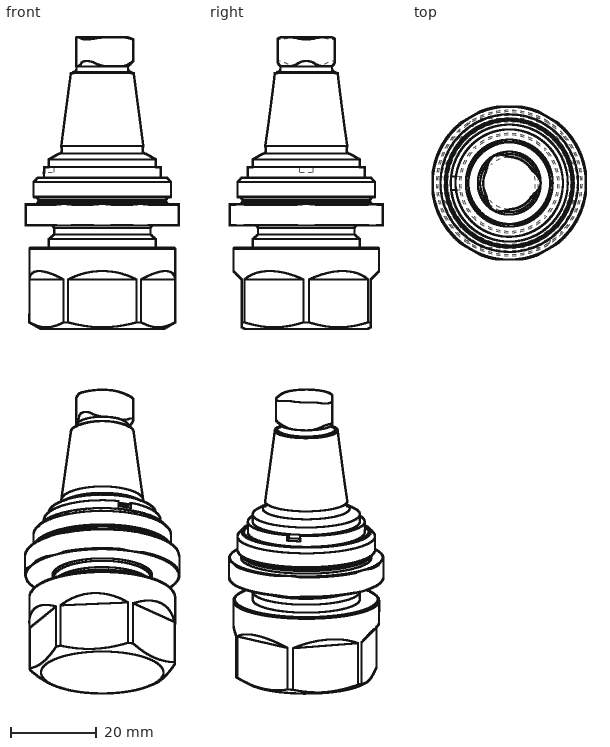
import cadquery as cq
import math

height = 68.0

nut_radius = 17.0
nut_top = 19.05
nut_top_chamfer = 0.35
hex_apothem = 15.0
hex_top = 11.55
nut_foot_radius = 14.3
nut_foot_angle = 30.0

collar_radius = 12.5
collar_top = 20.95
neck_radius = 11.255
neck_bottom = 22.0
neck_top = 23.6
neck_flare_radius = 11.6

flange_radius = 18.0
flange_apothem = 17.8
flange_bottom = 24.1
flange_top = 29.1
flange_chamfer = 0.2
flat_angles = (0, 60, 90, 120, 180, 240, 270, 300)

groove_edge_radius = 15.2
groove_radius = 14.9
groove_floor_bottom = 29.65
groove_floor_top = 30.1
groove_top = 30.6
ring_radius = 16.05
ring_bottom = 30.9
ring_shoulder = 34.2
ring_top = 35.3
ring_top_radius = 15.0
ring_recess_radius = 14.55
ring_recess_depth = 0.15

step_radius = 13.635
step_top = 37.75
shoulder_radius = 12.5
shoulder_top = 39.5
notch_width = 3.1
notch_floor = 36.45
notch_end_radius = 11.2

shoulder_cone_radius = 10.1
shoulder_cone_top = 40.9
relief_radius = 9.45
relief_bottom = 41.55
relief_top = 42.1
taper_bottom = 42.65
taper_bottom_radius = 9.6
taper_top = 59.65
taper_top_radius = 7.35

rim_radius = 6.765
rim_height = 0.3
head_neck_radius = 6.05
head_neck_bottom = 60.5
head_neck_top = 61.2
lobe_radius = 7.3
lobe_bottom = head_neck_top + lobe_radius - head_neck_radius
lobe_top = 67.45
head_top_radius = 5.7
head_crown_radius = 6.05
head_crown_drop = 0.1
head_base_radius = 6.085
nose_radius = 2.65
nose_distance = lobe_radius - nose_radius
lobe_count = 3
nose_edge_angle = 52.0
base_edge_angle = 37.0


def polar(radius, angle):
    a = math.radians(angle)
    return radius * math.cos(a), radius * math.sin(a)


def revolve(points):
    """Turn an (r, z) outline around the Z axis."""
    return cq.Workplane("XZ").polyline(points).close().revolve(360, (0, 0), (0, 1))


def make_nut():
    foot_rise = (nut_radius - nut_foot_radius) * math.tan(math.radians(nut_foot_angle))
    nut = revolve([
        (0, 0),
        (nut_foot_radius, 0),
        (nut_radius, foot_rise),
        (nut_radius, nut_top - nut_top_chamfer),
        (nut_radius - nut_top_chamfer, nut_top),
        (0, nut_top),
    ])
    reach = 2 * nut_radius
    runout = reach - hex_apothem
    flat_cutter = (
        cq.Workplane("XZ")
        .polyline([
            (hex_apothem, -0.7),
            (hex_apothem, hex_top),
            (reach, hex_top + runout),
            (reach, -0.7),
        ])
        .close()
        .extrude(nut_radius, both=True)
    )
    for i in range(6):
        nut = nut.cut(flat_cutter.rotate((0, 0, 0), (0, 0, 1), 30 + 60 * i))
    return nut


def make_flange():
    flange = (
        cq.Workplane("XY", origin=(0, 0, flange_bottom))
        .circle(flange_radius)
        .extrude(flange_top - flange_bottom)
        .faces("<Z or >Z")
        .chamfer(flange_chamfer)
    )
    flat_cutter = cq.Workplane("XY").box(
        flange_radius, flange_radius, height, centered=(False, True, False)
    ).translate((flange_apothem, 0, 0))
    for angle in flat_angles:
        flange = flange.cut(flat_cutter.rotate((0, 0, 0), (0, 0, 1), angle))
    return flange


def cove_middle(top, foot):
    """Middle of the arc that leaves top straight down and flares out to foot."""
    across = foot[0] - top[0]
    down = top[1] - foot[1]
    radius = (across**2 + down**2) / (2 * across)
    half_sweep = math.asin(down / radius) / 2
    return top[0] + radius * (1 - math.cos(half_sweep)), top[1] - radius * math.sin(half_sweep)


def make_body():
    """Turned length from the nut's top face up to the underside of the head."""
    lower_outline = [
        (0, nut_top),
        (collar_radius, nut_top),
        (collar_radius, collar_top),
        (neck_radius, neck_bottom),
        (neck_radius, neck_top),
        (neck_flare_radius, flange_bottom),
        (neck_flare_radius, flange_top),
        (groove_edge_radius, flange_top),
        (groove_radius, groove_floor_bottom),
        (groove_radius, groove_floor_top),
        (groove_edge_radius, groove_top),
        (ring_radius - ring_bottom + groove_top, groove_top),
        (ring_radius, ring_bottom),
        (ring_radius, ring_shoulder),
        (ring_top_radius, ring_top),
        (ring_recess_radius, ring_top),
        (ring_recess_radius, ring_top - ring_recess_depth),
        (step_radius, ring_top - ring_recess_depth),
        (step_radius, step_top),
        (shoulder_radius, step_top),
        (shoulder_radius, shoulder_top),
        (shoulder_cone_radius, shoulder_cone_top),
    ]
    upper_outline = [
        (relief_radius, relief_top),
        (taper_bottom_radius, taper_bottom),
        (taper_top_radius, taper_top),
        (rim_radius, taper_top),
        (rim_radius, taper_top + rim_height),
    ]
    relief_end = (relief_radius, relief_bottom)
    neck_end = (head_neck_radius, head_neck_bottom)
    return (
        cq.Workplane("XZ")
        .polyline(lower_outline)
        .threePointArc(cove_middle(relief_end, lower_outline[-1]), relief_end)
        .polyline(upper_outline, includeCurrent=True)
        .threePointArc(cove_middle(neck_end, upper_outline[-1]), neck_end)
        .lineTo(head_neck_radius, head_neck_top)
        .lineTo(0, head_neck_top)
        .close()
        .revolve(360, (0, 0), (0, 1))
    )


def make_notch():
    """Key pocket through the step's wall, running a little way under the shoulder."""
    pocket = cq.Workplane("XY").box(
        step_radius, notch_width, step_top - notch_floor, centered=(False, True, False)
    )
    return pocket.translate((-notch_end_radius - step_radius, 0, notch_floor))


def lobe_outline():
    """Round noses joined by straight sides to arcs of the base circle."""
    pitch = 360 / lobe_count
    nose_x, nose_y = polar(nose_radius, nose_edge_angle)
    nose_end_radius = math.hypot(nose_distance + nose_x, nose_y)
    nose_end_angle = math.degrees(math.atan2(nose_y, nose_distance + nose_x))
    outline = cq.Workplane("XY", origin=(0, 0, head_neck_top - 0.7))
    outline = outline.moveTo(*polar(nose_end_radius, -nose_end_angle))
    for i in range(lobe_count):
        axis = i * pitch
        outline = outline.threePointArc(
            polar(lobe_radius, axis),
            polar(nose_end_radius, axis + nose_end_angle),
        )
        outline = outline.lineTo(*polar(head_base_radius, axis + base_edge_angle))
        outline = outline.threePointArc(
            polar(head_base_radius, axis + pitch / 2),
            polar(head_base_radius, axis + pitch - base_edge_angle),
        )
        if i < lobe_count - 1:
            outline = outline.lineTo(*polar(nose_end_radius, axis + pitch - nose_end_angle))
    return outline.close()


def make_head():
    envelope = revolve([
        (0, head_neck_top),
        (head_neck_radius, head_neck_top),
        (lobe_radius, lobe_bottom),
        (lobe_radius, lobe_top),
        (head_crown_radius, height - head_crown_drop),
        (head_top_radius, height),
        (0, height),
    ])
    return envelope.intersect(lobe_outline().extrude(height))


result = make_nut().union(make_body()).union(make_flange()).union(make_head()).cut(make_notch())